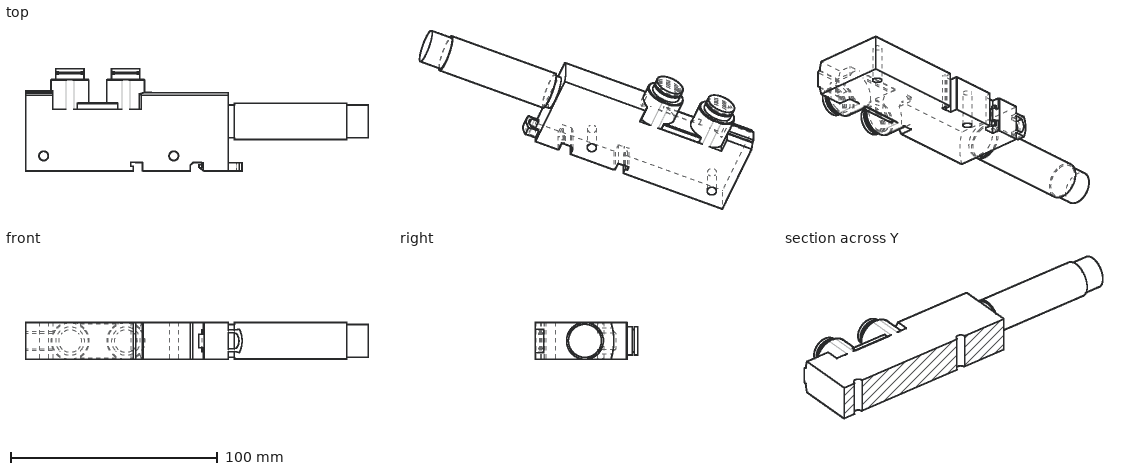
import cadquery as cq

body_length = 98.2
body_height = 18.0
mid_height = body_height / 2
edge_depth = 36.7
crown_depth = 38.1
cut_margin = 1.0

pad_depth = 38.9
pad_half_height = 4.6
pad_length = 13.1
pad_chamfer = 0.8

recess_left = pad_length
recess_right = 56.0
recess_floor = 30.0
recess_taper = 1.0
taper_height = 3.0

ledge_left = 25.0
ledge_right = 44.6
ledge_depth = 33.1
ledge_inset = 0.3
ledge_chamfer = 0.5

port_positions = (21.4, 48.4)
port_diameter = 18.4
port_end = 44.5
port_chamfer = 0.4
collar_diameter = 13.8
collar_neck_diameter = 11.0
collar_groove_start = 47.1
collar_groove_end = 47.9
collar_end = 49.7

silencer_front_offset = 24.1
silencer_diameter = 17.8
silencer_tip_diameter = 16.0
silencer_neck_end = 101.1
silencer_shoulder = 155.5
silencer_end = 165.9

hole_diameter = 4.4
hole_positions = (8.7, 71.7)
hole_front_offset = 7.4

slot_depth = 4.1
first_slot_left = 52.1
first_slot_right = 56.5
undercut_left = 50.9
undercut_right = 53.4
undercut_start = 2.5
undercut_end = 4.3
second_slot_left = 79.8
second_slot_right = 86.0
slot_bevel = 1.2
mouth_bevel_width = 0.5
mouth_bevel_depth = 0.25

nose_left = 83.8
nose_height = 6.5
nose_flat_start = 2.0
nose_flat_end = 3.2
plate_left = 85.2
plate_start = 1.9
loop_end = 104.8
loop_height = 10.7
loop_bulge = 1.3
loop_flare = 0.3
loop_flare_length = 1.5
loop_wall = 1.5


def make_body():
    rear_corner = (edge_depth, body_height)
    profile = (
        cq.Workplane("YZ")
        .moveTo(0, 0)
        .lineTo(edge_depth, 0)
        .threePointArc((crown_depth, mid_height), rear_corner)
        .lineTo(0, body_height)
        .close()
    )
    body = profile.extrude(body_length)
    pad = cq.Workplane("XY").box(
        pad_length, pad_depth, 2 * pad_half_height, centered=(False, False, True)
    )
    pad = pad.faces(">Y").edges("|X").chamfer(pad_chamfer)
    return body.union(pad.translate((0, 0, mid_height)))


def make_recess():
    rear = pad_depth + cut_margin
    inner_right = recess_right - recess_taper
    profile = (
        cq.Workplane("XZ", origin=(0, recess_floor, 0))
        .polyline([
            (recess_left, 0),
            (recess_right, 0),
            (inner_right, taper_height),
            (inner_right, body_height - taper_height),
            (recess_right, body_height),
            (recess_left, body_height),
        ])
        .close()
    )
    return profile.extrude(recess_floor - rear)


def make_ledge():
    ledge = cq.Workplane("XY").box(
        ledge_right - ledge_left,
        ledge_depth - recess_floor,
        body_height - 2 * ledge_inset,
        centered=False,
    )
    ledge = ledge.faces(">Y").edges("|X").chamfer(ledge_chamfer)
    return ledge.translate((ledge_left, recess_floor, ledge_inset))


def cylinder_along_y(x, diameter, start, end):
    plane = cq.Workplane("XZ", origin=(x, start, mid_height))
    return plane.circle(diameter / 2).extrude(start - end)


def make_port(x):
    barrel = cylinder_along_y(x, port_diameter, recess_floor, port_end)
    barrel = barrel.faces(">Y").chamfer(port_chamfer)
    flats = cq.Workplane("XY").box(
        2 * port_diameter, 2 * port_end, body_height, centered=(True, True, False)
    )
    barrel = barrel.intersect(flats.translate((x, 0, 0)))
    collar = cylinder_along_y(x, collar_diameter, port_end, collar_groove_start)
    neck = cylinder_along_y(x, collar_neck_diameter, collar_groove_start, collar_groove_end)
    rim = cylinder_along_y(x, collar_diameter, collar_groove_end, collar_end)
    return barrel.union(collar).union(neck).union(rim)


def make_silencer():
    def section(diameter, start, end):
        plane = cq.Workplane("YZ", origin=(start, silencer_front_offset, mid_height))
        return plane.circle(diameter / 2).extrude(end - start)

    neck = section(silencer_tip_diameter, body_length, silencer_neck_end)
    barrel = section(silencer_diameter, silencer_neck_end, silencer_shoulder)
    tip = section(silencer_tip_diameter, silencer_shoulder, silencer_end)
    return neck.union(barrel).union(tip)


def make_mounting_holes():
    centres = [(x, hole_front_offset) for x in hole_positions]
    return cq.Workplane("XY").pushPoints(centres).circle(hole_diameter / 2).extrude(body_height)


def extrude_slot(points):
    return cq.Workplane("XY").polyline(points).close().extrude(body_height)


def make_rail_slots():
    first = extrude_slot([
        (first_slot_left, 0),
        (first_slot_right + mouth_bevel_width, 0),
        (first_slot_right, mouth_bevel_depth),
        (first_slot_right, slot_depth),
        (undercut_right, slot_depth),
        (undercut_right, undercut_end),
        (undercut_left, undercut_end),
        (undercut_left, undercut_start),
        (first_slot_left, undercut_start),
    ])
    second = extrude_slot([
        (second_slot_left, 0),
        (second_slot_right + mouth_bevel_width, 0),
        (second_slot_right, mouth_bevel_depth),
        (second_slot_right, slot_depth),
        (second_slot_left + slot_bevel, slot_depth),
        (second_slot_left, slot_depth - slot_bevel),
    ])
    return first.union(second)


def make_clip_nose():
    nose = (
        cq.Workplane("XY", origin=(0, 0, mid_height))
        .polyline([
            (second_slot_right, mouth_bevel_depth),
            (nose_left, nose_flat_start),
            (nose_left, nose_flat_end),
            (second_slot_right, nose_flat_end),
        ])
        .close()
        .extrude(nose_height / 2, both=True)
    )
    plate = cq.Workplane("XY").box(
        second_slot_right - plate_left,
        slot_depth - plate_start,
        loop_height,
        centered=(False, False, True),
    )
    return nose.union(plate.translate((plate_left, plate_start, mid_height)))


def make_clip_loop():
    def outline(end, half_height, flare):
        corner = end - loop_bulge
        end_half_height = half_height + flare
        return (
            cq.Workplane("XZ", origin=(0, 0, mid_height))
            .moveTo(body_length, -half_height)
            .lineTo(corner - loop_flare_length, -half_height)
            .lineTo(corner, -end_half_height)
            .threePointArc((end, 0), (corner, end_half_height))
            .lineTo(corner - loop_flare_length, half_height)
            .lineTo(body_length, half_height)
            .close()
            .extrude(-slot_depth)
        )

    outer = outline(loop_end, loop_height / 2, loop_flare)
    opening = outline(loop_end - loop_wall, loop_height / 2 - loop_wall, -loop_flare)
    return outer.cut(opening)


result = make_body().cut(make_recess()).union(make_ledge())
for port_x in port_positions:
    result = result.union(make_port(port_x))
result = result.union(make_silencer())
result = result.cut(make_mounting_holes()).cut(make_rail_slots())
result = result.union(make_clip_nose()).union(make_clip_loop())